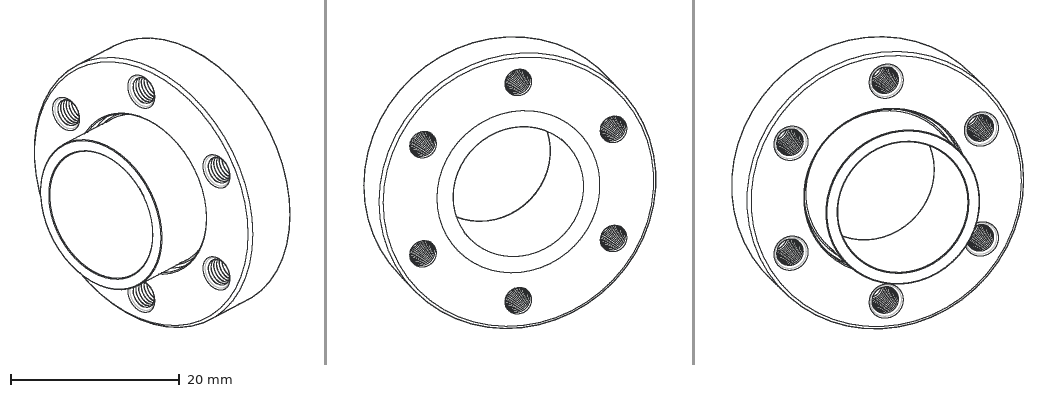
import cadquery as cq
import math


flange_radius = 17.0
flange_thickness = 7.6
flange_chamfer = 0.4
ring_bore_radius = 10.0
ring_bore_chamfer = 0.15

hole_count = 6
hole_circle_radius = 13.5
thread_minor_radius = 1.62
thread_major_radius = 1.92
thread_pitch = 0.5
countersink_radius = 2.1

tube_outer_radius = 9.45
tube_inner_radius = 8.0
tube_chamfer = 0.1
overall_length = 15.0
shoulder_recess = 1.7
root_chamfer = 0.2

front_face_y = -flange_thickness
shoulder_y = front_face_y + shoulder_recess
tube_end_y = -overall_length


def revolve_about_y(profile):
    """Turn a profile drawn as (radius, y) about the Y axis."""
    return profile.close().revolve(360, (0, 0, 0), (0, 1, 0))


def threaded_hole():
    """Solid to be removed for one threaded hole, on the Y axis."""
    countersink_y = front_face_y + countersink_radius - thread_major_radius
    profile = (
        cq.Workplane("XY")
        .moveTo(0, front_face_y)
        .lineTo(countersink_radius, front_face_y)
    )
    groove_count = math.floor(-countersink_y / thread_pitch)
    for groove in range(groove_count):
        groove_y = countersink_y + groove * thread_pitch
        profile = profile.lineTo(thread_major_radius, groove_y)
        profile = profile.lineTo(thread_minor_radius, groove_y + thread_pitch / 2)
    profile = profile.lineTo(thread_minor_radius, 0).lineTo(0, 0)
    return revolve_about_y(profile)


def make_flange_ring():
    ring = revolve_about_y(
        cq.Workplane("XY")
        .moveTo(ring_bore_radius, 0)
        .lineTo(flange_radius - flange_chamfer, 0)
        .lineTo(flange_radius, -flange_chamfer)
        .lineTo(flange_radius, front_face_y + flange_chamfer)
        .lineTo(flange_radius - flange_chamfer, front_face_y)
        .lineTo(ring_bore_radius + ring_bore_chamfer, front_face_y)
        .lineTo(ring_bore_radius, front_face_y + ring_bore_chamfer)
    )
    hole = threaded_hole()
    for index in range(hole_count):
        angle = math.radians(90 + index * 360 / hole_count)
        x = hole_circle_radius * math.cos(angle)
        z = hole_circle_radius * math.sin(angle)
        ring = ring.cut(hole.translate((x, 0, z)))
    return ring


def make_tube_hub():
    return revolve_about_y(
        cq.Workplane("XY")
        .moveTo(tube_inner_radius, 0)
        .lineTo(ring_bore_radius, 0)
        .lineTo(ring_bore_radius, shoulder_y)
        .lineTo(tube_outer_radius + root_chamfer, shoulder_y)
        .lineTo(tube_outer_radius, shoulder_y - root_chamfer)
        .lineTo(tube_outer_radius, tube_end_y + tube_chamfer)
        .lineTo(tube_outer_radius - tube_chamfer, tube_end_y)
        .lineTo(tube_inner_radius + tube_chamfer, tube_end_y)
        .lineTo(tube_inner_radius, tube_end_y + tube_chamfer)
    )


flange_ring = make_flange_ring()
tube_hub = make_tube_hub()

result = cq.Compound.makeCompound([flange_ring.val(), tube_hub.val()])